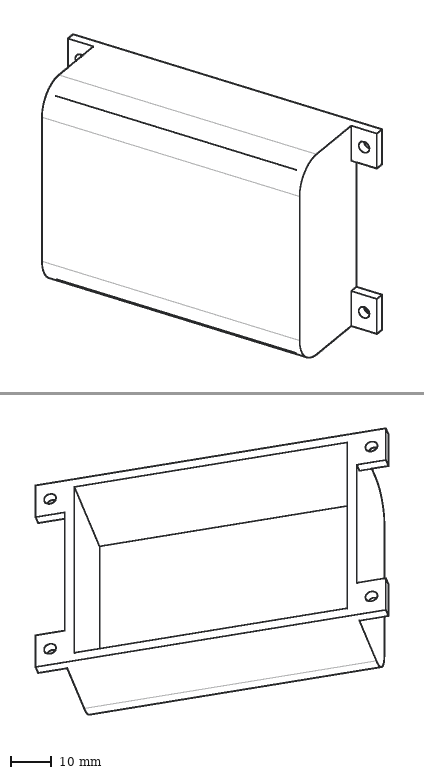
import cadquery as cq

overall_length = 89.0
depth = 26.8
height = 57.0

body_length = 74.2
edge_radius = 8.0
wall = 2.5

tab_height = 10.0
tab_thickness = wall
hole_diameter = 3.0
tab_length = (overall_length - body_length) / 2
tab_x = (overall_length - tab_length) / 2
tab_y = (depth - tab_thickness) / 2
tab_z = (height - tab_height) / 2


def make_body():
    """Box with its two long front edges rounded and a square-cornered cavity open at the back."""
    block = cq.Workplane("XY").box(body_length, depth, height)
    block = block.faces("<Y").edges("|X").fillet(edge_radius)
    cavity = cq.Workplane("XY").box(body_length - 2 * wall, depth - wall, height - 2 * wall)
    return block.cut(cavity.translate((0, wall / 2, 0)))


def make_tab(side_x, side_z):
    """Corner tab with a centred through hole; each side is -1 or 1."""
    tab = cq.Workplane("XY").box(tab_length, tab_thickness, tab_height)
    tab = tab.faces("<Y").workplane().hole(hole_diameter)
    return tab.translate((side_x * tab_x, tab_y, side_z * tab_z))


result = make_body()
for side_x in (-1, 1):
    for side_z in (-1, 1):
        result = result.union(make_tab(side_x, side_z))